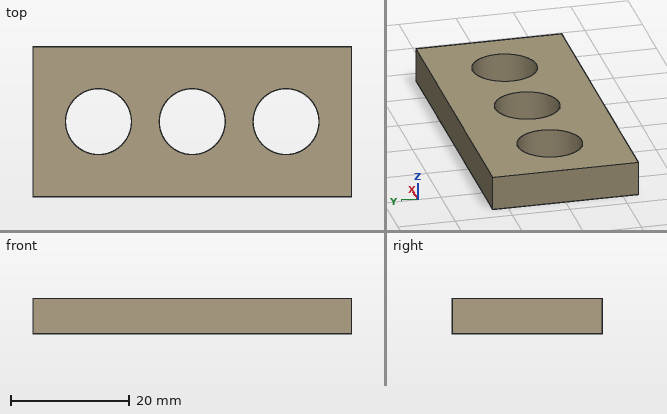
import cadquery as cq

length = 54.0
width = 25.4
thickness = 6.0

hole_count = 3
hole_diameter = 11.1
hole_pitch = 15.85

plate = cq.Workplane("XY").box(length, width, thickness)

result = (
    plate.faces(">Z")
    .workplane()
    .rarray(hole_pitch, width, hole_count, 1)
    .hole(hole_diameter)
)